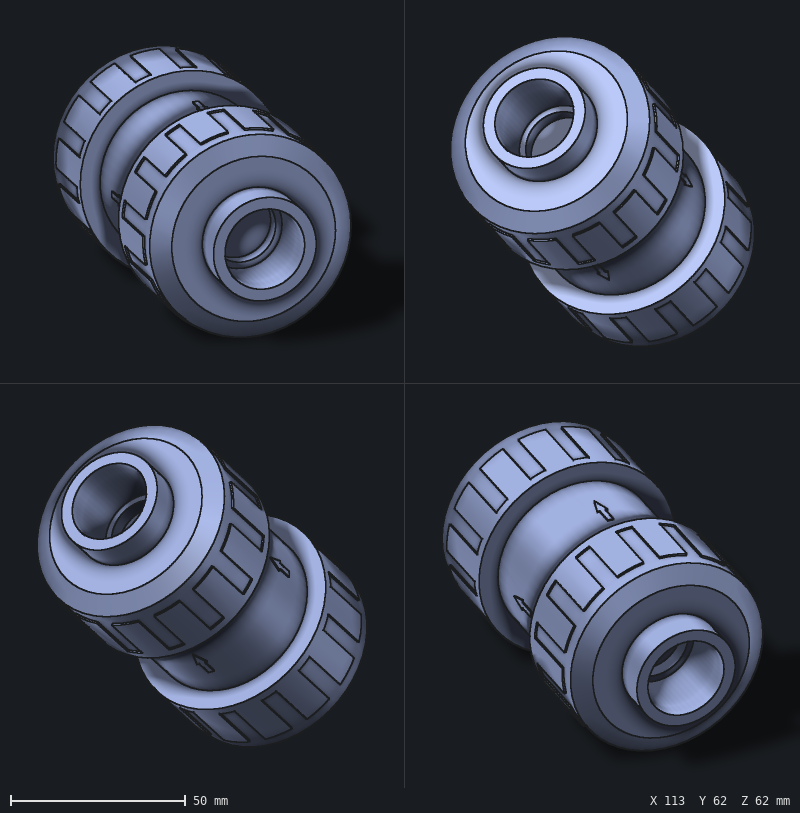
import cadquery as cq

total_length = 113.0
pipe_diameter = 31.1
body_diameter = 50.1

socket_diameter = 24.1
socket_depth = 20.3
seat_diameter = 20.2
seat_depth = 24.9

nut_diameter = 60.9
grip_diameter = 62.0
nut_face_diameter = 49.5
nut_inner_end = 17.2
nut_outer_end = 46.4
nut_chamfer_length = 2.9
grip_length = 21.8
collar_length = 3.2

slot_count = 14
slot_pitch = 360 / slot_count
slot_width = 5.1
slot_phase = -5.1

arrow_length = 11.3
arrow_shaft_width = 1.8
arrow_head_width = 3.3
arrow_height = 0.3


def cylinder(diameter, start, length):
    """Solid cylinder along +X from x = start."""
    return cq.Workplane("YZ", origin=(start, 0, 0)).circle(diameter / 2).extrude(length)


def grip_layer():
    """Raised collar with pads between the slots, on the +X nut."""
    grip = cylinder(grip_diameter, nut_inner_end, grip_length)
    slot_length = grip_length - collar_length
    slot_middle = nut_inner_end + collar_length + slot_length / 2
    slot_size = (slot_length, slot_width, grip_diameter / 2)
    slot = cq.Workplane("XY").box(*slot_size, centered=(True, True, False))
    slot = slot.translate((slot_middle, 0, 0))
    for index in range(slot_count):
        angle = -(slot_phase + index * slot_pitch)
        grip = grip.cut(slot.rotate((0, 0, 0), (1, 0, 0), angle))
    return grip


def union_nut():
    """Nut on the +X side: conical outer end and slotted grip."""
    nut_radius = nut_diameter / 2
    profile = [
        (nut_inner_end, 0),
        (nut_inner_end, nut_radius),
        (nut_outer_end - nut_chamfer_length, nut_radius),
        (nut_outer_end, nut_face_diameter / 2),
        (nut_outer_end, 0),
    ]
    core = cq.Workplane("XY").polyline(profile).close().revolve(360, (0, 0, 0), (1, 0, 0))
    return core.union(grip_layer())


def flow_arrow():
    """Arrow on the +Z side of the body, its top following the round surface."""
    tail = -arrow_length / 2
    tip = arrow_length / 2
    shaft = arrow_shaft_width / 2
    head = arrow_head_width / 2
    outline = [(tail, -shaft), (0, -shaft), (0, -head), (tip, 0), (0, head), (0, shaft), (tail, shaft)]
    column = cq.Workplane("XY").polyline(outline).close().extrude(body_diameter)
    return column.intersect(cylinder(body_diameter + 2 * arrow_height, tail, arrow_length))


def socket():
    """Stepped blind bore entering from the +X end."""
    end = total_length / 2
    wide = cylinder(socket_diameter, end, -socket_depth)
    return wide.union(cylinder(seat_diameter, end, -seat_depth))


def both_ends(feature):
    """The +X feature together with its copy turned half a turn about Z."""
    return feature.union(feature.rotate((0, 0, 0), (0, 0, 1), 180))


result = cylinder(pipe_diameter, -total_length / 2, total_length)
result = result.union(cylinder(body_diameter, -nut_inner_end, 2 * nut_inner_end))
result = result.union(both_ends(union_nut()))
for quarter_turn in range(4):
    result = result.union(flow_arrow().rotate((0, 0, 0), (1, 0, 0), 90 * quarter_turn))
result = result.cut(both_ends(socket()))